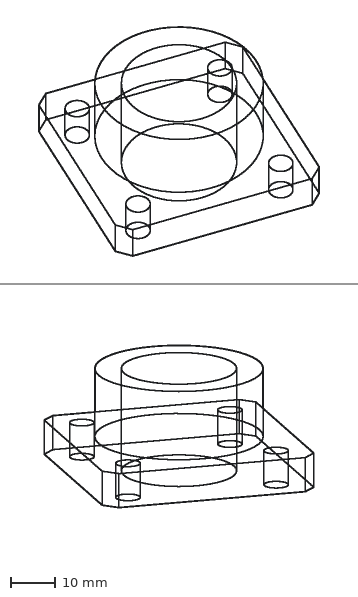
import cadquery as cq

plate_side = 50.0
plate_thickness = 8.0
corner_chamfer = 3.0

boss_diameter = 38.0
total_height = 24.0
boss_height = total_height - plate_thickness

bore_diameter = 26.0
bolt_hole_diameter = 5.5
bolt_spacing = 35.0


def make_plate():
    """Square plate with its four vertical edges chamfered."""
    plate = cq.Workplane("XY").rect(plate_side, plate_side).extrude(plate_thickness)
    return plate.edges("|Z").chamfer(corner_chamfer)


def make_boss():
    """Cylinder rising from the top face of the plate."""
    return (
        cq.Workplane("XY")
        .workplane(offset=plate_thickness)
        .circle(boss_diameter / 2)
        .extrude(boss_height)
    )


def make_bore():
    """Central bore through the boss and the plate."""
    return cq.Workplane("XY").circle(bore_diameter / 2).extrude(total_height)


def make_bolt_holes():
    """Four bolt holes through the plate, on a square pattern."""
    return (
        cq.Workplane("XY")
        .rect(bolt_spacing, bolt_spacing, forConstruction=True)
        .vertices()
        .circle(bolt_hole_diameter / 2)
        .extrude(plate_thickness)
    )


result = make_plate().union(make_boss()).cut(make_bore()).cut(make_bolt_holes())